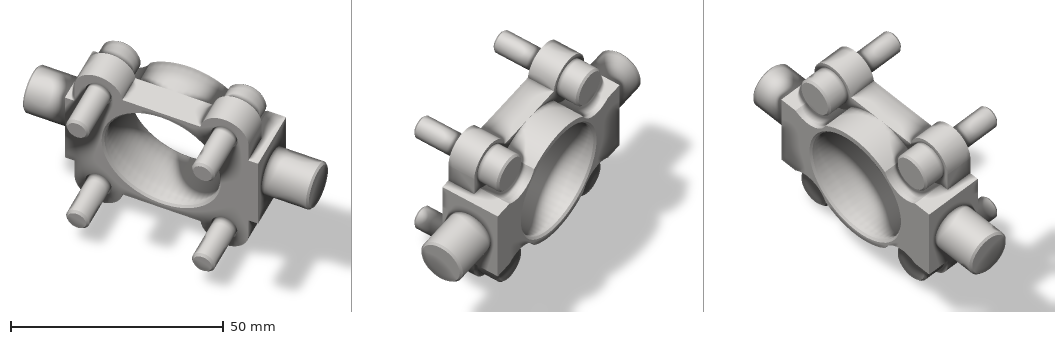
import cadquery as cq

trunnion_span = 74.0
trunnion_diameter = 12.0
trunnion_chamfer = 0.5
body_depth = 16.0
block_width = 50.0
block_height = 21.6
ring_diameter = 34.05
bore_diameter = 30.0
bore_chamfer = 0.5

plate_thickness = 7.5
lug_radius = 6.2
plate_height = ring_diameter
screw_offset = 16.3
screw_hole_diameter = 6.8
head_relief_radius = 6.7

shank_diameter = 6.0
shank_protrusion = 12.5
tip_chamfer = 0.6
head_diameter = 10.0
head_height = 6.0
head_chamfer = 0.5

screw_positions = [(x * screw_offset, z * screw_offset) for x in (-1, 1) for z in (-1, 1)]


def rod(x, z, diameter, y_start, y_end):
    """Cylinder along Y between two Y positions."""
    return cq.Workplane(
        cq.Solid.makeCylinder(
            diameter / 2, y_end - y_start, cq.Vector(x, y_start, z), cq.Vector(0, 1, 0)
        )
    )


def slab(width, depth, height):
    """Box centred on X and Z that runs back from the front face at Y = 0."""
    return cq.Workplane("XY").box(width, depth, height, centered=(True, False, True))


def make_trunnions():
    """Both trunnions as one shaft through the body, with chamfered ends."""
    return (
        cq.Workplane("YZ", origin=(-trunnion_span / 2, body_depth / 2, 0))
        .circle(trunnion_diameter / 2)
        .extrude(trunnion_span)
        .faces("<X or >X")
        .chamfer(trunnion_chamfer)
    )


def make_plate():
    """Front plate: a wide and a tall slab crossed over each other, with a round lug at each corner."""
    plate = slab(2 * (screw_offset + lug_radius), plate_thickness, 2 * screw_offset)
    plate = plate.union(slab(2 * screw_offset, plate_thickness, plate_height))
    for x, z in screw_positions:
        plate = plate.union(rod(x, z, 2 * lug_radius, 0, plate_thickness))
    return plate


def make_bore():
    """Material removed by the bore, with a chamfered rim at both ends."""
    rim_radius = bore_diameter / 2 + bore_chamfer
    bore = rod(0, 0, bore_diameter, 0, body_depth)
    for y, inward in ((0, 1), (body_depth, -1)):
        rim = cq.Solid.makeCone(
            rim_radius, bore_diameter / 2, bore_chamfer, cq.Vector(0, y, 0), cq.Vector(0, inward, 0)
        )
        bore = bore.union(cq.Workplane(rim))
    return bore


def make_body():
    """Trunnion block, ring and plate as one solid, with the bore and the screw holes."""
    rear = slab(block_width, body_depth, block_height).union(rod(0, 0, ring_diameter, 0, body_depth))
    for x, z in screw_positions:
        rear = rear.cut(rod(x, z, 2 * head_relief_radius, plate_thickness, body_depth))
    body = rear.union(make_trunnions()).union(make_plate())

    body = body.cut(make_bore())

    for x, z in screw_positions:
        body = body.cut(rod(x, z, screw_hole_diameter, 0, plate_thickness))
    return body


def make_screw(x, z):
    """Cap screw whose head sits on the rear face of the plate."""
    shank = rod(x, z, shank_diameter, -shank_protrusion, plate_thickness)
    shank = shank.faces("<Y").chamfer(tip_chamfer)
    head = rod(x, z, head_diameter, plate_thickness, plate_thickness + head_height)
    head = head.faces(">Y").chamfer(head_chamfer)
    return shank.union(head)


body = make_body()
screws = [make_screw(x, z) for x, z in screw_positions]

result = cq.Compound.makeCompound([body.val(), *[screw.val() for screw in screws]])